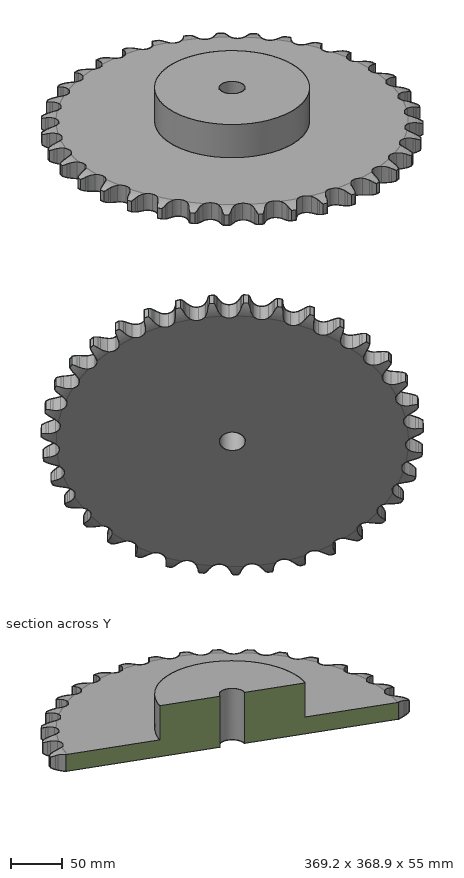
import math

import cadquery as cq

tooth_count = 35
chain_pitch = 31.75
roller_diameter = 19.05

plate_thickness = 18.5
overall_height = 55.0
hub_diameter = 150.0
bore_diameter = 25.0

relief_depth = 14.6
relief_arc_radius = chain_pitch

cutter_margin = 5.0

tooth_angle = 2 * math.pi / tooth_count
pitch_radius = chain_pitch / (2 * math.sin(tooth_angle / 2))
tip_radius = pitch_radius + 0.4 * roller_diameter

fit_clearance = 0.0381
seating_radius = 0.5025 * roller_diameter + fit_clearance
seating_angle = math.radians(55 - 60 / tooth_count)
working_radius = 1.3025 * roller_diameter + fit_clearance
working_sweep = math.radians(18 - 56 / tooth_count)
topping_angle = math.radians(17 - 64 / tooth_count)
flank_length = roller_diameter * (1.4 * math.sin(topping_angle) - 0.8 * math.sin(working_sweep))
topping_radius = (
    roller_diameter * (0.8 * math.cos(working_sweep) + 1.4 * math.cos(topping_angle) - 1.3025)
    - fit_clearance
)


def polar_step(origin, distance, angle):
    """Point at a distance and direction from an origin."""
    return (origin[0] + distance * math.cos(angle), origin[1] + distance * math.sin(angle))


def mirror(point):
    """Point reflected to the other side of the Y axis."""
    return (-point[0], point[1])


def half_gap_points():
    """Points from the bottom of a gap centred on +Y up the right flank to the tip circle.

    Directions are headings along the profile, measured from +X.
    Order: root, seating middle, seating end, working middle, working end,
    flank end, topping middle, tip.
    """
    seat_centre = (0, pitch_radius)
    down = -math.pi / 2
    root = polar_step(seat_centre, seating_radius, down)
    seat_middle = polar_step(seat_centre, seating_radius, down + seating_angle / 2)
    seat_end = polar_step(seat_centre, seating_radius, down + seating_angle)

    working_centre = polar_step(seat_end, working_radius, seating_angle - down)
    working_start = seating_angle + down
    working_middle = polar_step(working_centre, working_radius, working_start + working_sweep / 2)
    working_end = polar_step(working_centre, working_radius, working_start + working_sweep)

    flank_heading = seating_angle + working_sweep
    flank_end = polar_step(working_end, flank_length, flank_heading)

    topping_centre = polar_step(flank_end, topping_radius, flank_heading + down)
    centre_distance = math.hypot(*topping_centre)
    centre_direction = math.atan2(topping_centre[1], topping_centre[0])
    cosine = (tip_radius**2 - centre_distance**2 - topping_radius**2) / (
        2 * centre_distance * topping_radius
    )
    topping_start = flank_heading - down
    topping_end = centre_direction + math.acos(cosine)
    topping_middle = polar_step(topping_centre, topping_radius, (topping_start + topping_end) / 2)
    tip = polar_step(topping_centre, topping_radius, topping_end)
    return [
        root, seat_middle, seat_end, working_middle, working_end, flank_end, topping_middle, tip,
    ]


def make_gap_cutter():
    """Prism that fills the tooth gap centred on +Y and reaches past the tip circle."""
    root, seat_middle, seat_end, working_middle, working_end, flank_end, topping_middle, tip = (
        half_gap_points()
    )
    outer = (tip[0], tip_radius + cutter_margin)
    return (
        cq.Workplane("XY")
        .moveTo(*mirror(outer))
        .lineTo(*mirror(tip))
        .threePointArc(mirror(topping_middle), mirror(flank_end))
        .lineTo(*mirror(working_end))
        .threePointArc(mirror(working_middle), mirror(seat_end))
        .threePointArc(mirror(seat_middle), root)
        .threePointArc(seat_middle, seat_end)
        .threePointArc(working_middle, working_end)
        .lineTo(*flank_end)
        .threePointArc(topping_middle, tip)
        .lineTo(*outer)
        .close()
        .extrude(plate_thickness, clean=False)
    )


def make_plate_blank():
    """Disc out to the tip circle, its rim thinned by arcs tangent to both faces."""
    arc_start = tip_radius - relief_depth
    arc_middle = tip_radius - relief_depth / 2

    def arc_drop(radius):
        return relief_arc_radius - math.sqrt(relief_arc_radius**2 - (radius - arc_start) ** 2)

    middle_drop = arc_drop(arc_middle)
    tip_drop = arc_drop(tip_radius)
    return (
        cq.Workplane("XZ")
        .lineTo(arc_start, 0)
        .threePointArc((arc_middle, middle_drop), (tip_radius, tip_drop))
        .lineTo(tip_radius, plate_thickness - tip_drop)
        .threePointArc((arc_middle, plate_thickness - middle_drop), (arc_start, plate_thickness))
        .lineTo(0, plate_thickness)
        .close()
        .revolve(360, (0, 0, 0), (0, 1, 0))
    )


def make_toothed_plate():
    """Plate blank with all tooth gaps cut; one gap is centred on +Y."""
    plate = make_plate_blank()
    gap_cutter = make_gap_cutter()
    for index in range(tooth_count):
        gap_turn = math.degrees(index * tooth_angle)
        plate = plate.cut(gap_cutter.rotate((0, 0, 0), (0, 0, 1), gap_turn), clean=False)
    return plate


def make_hub():
    """Plain round hub standing on the top face of the plate."""
    return (
        cq.Workplane("XY")
        .workplane(offset=plate_thickness)
        .circle(hub_diameter / 2)
        .extrude(overall_height - plate_thickness)
    )


def make_bore():
    """Through bore along the axis."""
    return cq.Workplane("XY").circle(bore_diameter / 2).extrude(overall_height)


toothed_plate = make_toothed_plate()
result = toothed_plate.union(make_hub(), clean=False).cut(make_bore(), clean=False)